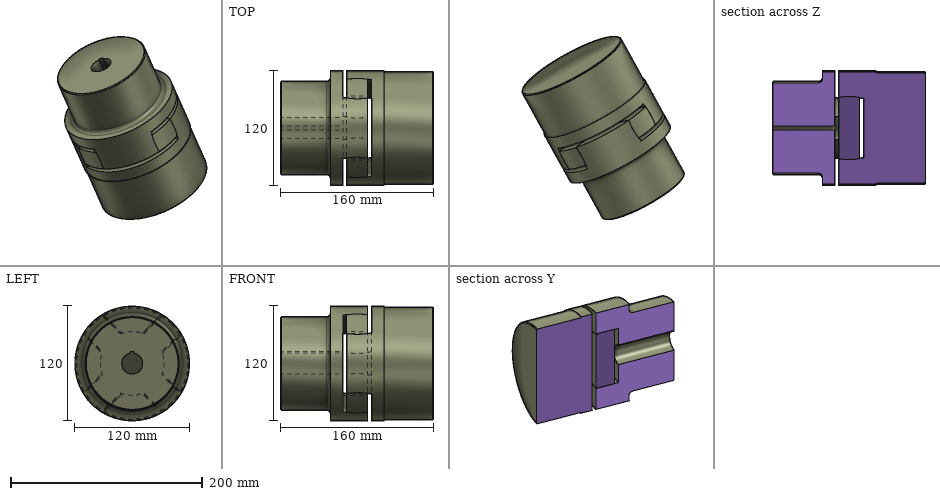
import cadquery as cq
import math


total_length = 160.0
middle = total_length / 2
outer_radius = 60.0
edge_chamfer = 1.0

flange_start = 52.0
flange_face = 65.0
jaw_gap = 4.0
jaw_tip = total_length - flange_face - jaw_gap
jaw_inner_radius = 33.3

input_neck_radius = 49.0
input_neck_fillet = 4.0
bore_radius = 11.0
keyway_width = 4.0
keyway_top = 12.7

output_neck_radius = 59.0
output_neck_fillet = 0.5

spider_start = total_length - jaw_tip
arm_half_width = 15.0
arm_crown_radius = 60.0
arm_angles = (45, 135, 225, 315)

origin = (0, 0, 0)
x_direction = (1, 0, 0)


def disc(start, end, radius):
    """Solid cylinder around the X axis."""
    return cq.Workplane("YZ").workplane(offset=start).circle(radius).extrude(end - start)


def arm_blocks():
    """The four arm shapes, reaching from one flange face to the other and past the outside."""
    start = flange_face
    end = total_length - flange_face
    half_length = middle - start
    crown_drop = arm_crown_radius - math.sqrt(arm_crown_radius**2 - half_length**2)
    end_half_width = arm_half_width - crown_drop
    block = (
        cq.Workplane("XY")
        .moveTo(start, -end_half_width)
        .threePointArc((middle, -arm_half_width), (end, -end_half_width))
        .lineTo(end, end_half_width)
        .threePointArc((middle, arm_half_width), (start, end_half_width))
        .close()
        .extrude(2 * outer_radius)
    )
    return [block.rotate(origin, x_direction, angle) for angle in arm_angles]


def jaw_pair():
    """Two opposite jaws at +Z and -Z, with sides hollowed to fit the arms."""
    sector_reach = 2 * outer_radius
    sectors = (
        cq.Workplane("YZ")
        .workplane(offset=flange_face)
        .polyline([(0, 0), (sector_reach, sector_reach), (-sector_reach, sector_reach)])
        .close()
        .polyline([(0, 0), (sector_reach, -sector_reach), (-sector_reach, -sector_reach)])
        .close()
        .extrude(jaw_tip - flange_face)
    )
    jaws = disc(flange_face, jaw_tip, outer_radius).cut(disc(flange_face, jaw_tip, jaw_inner_radius))
    jaws = jaws.intersect(sectors)
    for block in arm_blocks():
        jaws = jaws.cut(block)
    return jaws


def make_hub(neck_radius, neck_fillet):
    """Solid hub with its outer end at X = 0: chamfered neck, filleted flange and two jaws."""
    fillet_reach = neck_fillet * (1 - math.sqrt(0.5))
    body = (
        cq.Workplane("XY")
        .lineTo(0, neck_radius - edge_chamfer)
        .lineTo(edge_chamfer, neck_radius)
        .lineTo(flange_start - neck_fillet, neck_radius)
        .threePointArc(
            (flange_start - fillet_reach, neck_radius + fillet_reach),
            (flange_start, neck_radius + neck_fillet),
        )
        .lineTo(flange_start, outer_radius)
        .lineTo(flange_face, outer_radius)
        .lineTo(flange_face, 0)
        .close()
        .revolve(360, origin, x_direction)
    )
    return body.union(jaw_pair())


def make_input_hub():
    """Hub with a keyed bore through it; its jaws lie at +Z and -Z."""
    bore = disc(0, flange_face, bore_radius)
    keyway = cq.Workplane("XY").box(flange_face, keyway_width, keyway_top, centered=(False, True, False))
    return make_hub(input_neck_radius, input_neck_fillet).cut(bore).cut(keyway)


def make_output_hub():
    """Solid hub facing the input hub, turned a quarter so its jaws lie at +Y and -Y."""
    hub = make_hub(output_neck_radius, output_neck_fillet)
    return hub.mirror("YZ", (middle, 0, 0)).rotate(origin, x_direction, 90)


def make_spider():
    """Solid core that fills the space inside the jaws, with an arm between each pair of jaws."""
    envelope = disc(spider_start, jaw_tip, outer_radius)
    spider = disc(spider_start, jaw_tip, jaw_inner_radius)
    for block in arm_blocks():
        spider = spider.union(block.intersect(envelope))
    return spider


input_hub = make_input_hub()
output_hub = make_output_hub()
spider = make_spider()

result = cq.Compound.makeCompound([body.solids().val() for body in (input_hub, output_hub, spider)])